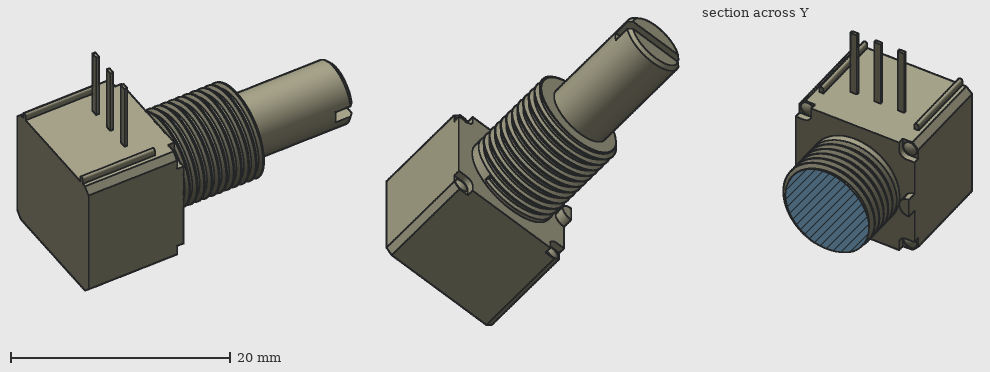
import cadquery as cq


TOTAL_LENGTH = 30.1

BODY_SIZE = 12.7
BODY_DEPTH = 10.1
BODY_CHAMFER = 0.63
HALF_BODY = BODY_SIZE / 2

RECESS_SIZE = 1.65
RECESS_DEPTH = 0.65
RECESS_RADIUS = 0.78
RIVET_RADIUS = 0.72
RIVET_HEIGHT = 0.27

TAB_WIDTH = 2.0
TAB_REACH = 1.02
TAB_HEIGHT = 1.0

BUSHING_DIAMETER = 9.5
BUSHING_LENGTH = 9.55
THREAD_PITCH = 0.78
THREAD_DEPTH = 0.42
GROOVE_ROOT_WIDTH = 0.25
GROOVE_MOUTH_WIDTH = 0.65
GROOVE_START = 0.55
GROOVE_START_ANGLE = 45
GROOVE_TURNS = 12
BUSHING_RADIUS = BUSHING_DIAMETER / 2
BUSHING_TIP = BODY_DEPTH + BUSHING_LENGTH

SHAFT_DIAMETER = 6.32
SHAFT_CHAMFER = 0.35
SLOT_WIDTH = 1.23
SLOT_DEPTH = 1.95

PIN_WIDTH = 0.7
PIN_THICKNESS = 0.3
PIN_HEIGHT = 7.0
PIN_SPACING = 2.53
PIN_Y = 6.05

RIB_WIDTH = 0.45
RIB_HEIGHT = 0.65
RIB_LENGTH = 7.68
RIB_OFFSET = 5.1


def section(y):
    """Workplane across the shaft axis at the given Y, with local x = X, y = Z and normal -Y."""
    return cq.Workplane("XZ", origin=(0, y, 0))


def make_body():
    return (
        section(0)
        .rect(BODY_SIZE, BODY_SIZE)
        .extrude(-BODY_DEPTH)
        .edges("|Y")
        .chamfer(BODY_CHAMFER)
    )


def make_recess(x_side, z_side):
    """Square corner cutter whose inner edge is rounded."""
    centre = HALF_BODY - RECESS_SIZE / 2
    inner_edge = ("<" if x_side > 0 else ">") + "X and |Y"
    inner_corner = ("<" if z_side > 0 else ">") + "Z"
    return (
        section(BODY_DEPTH - RECESS_DEPTH)
        .center(x_side * centre, z_side * centre)
        .rect(RECESS_SIZE, RECESS_SIZE)
        .extrude(-RECESS_DEPTH)
        .edges(inner_edge)
        .edges(inner_corner)
        .fillet(RECESS_RADIUS)
    )


def make_rivet(x_side, z_side):
    """Spherical cap on the recess floor, centred on the rounded inner edge of the recess."""
    offset = HALF_BODY - RECESS_SIZE + RECESS_RADIUS
    floor = BODY_DEPTH - RECESS_DEPTH
    sphere_radius = (RIVET_RADIUS**2 + RIVET_HEIGHT**2) / (2 * RIVET_HEIGHT)
    sphere = cq.Workplane("XY").sphere(sphere_radius).translate((0, RIVET_HEIGHT - sphere_radius, 0))
    sink = 0.05
    keep = section(-sink).circle(RIVET_RADIUS).extrude(-(RIVET_HEIGHT + sink))
    return sphere.intersect(keep).translate((x_side * offset, floor, z_side * offset))


def make_tab():
    """Tab flush with the -X side and rounded on its inner side."""
    radius = TAB_WIDTH / 2
    flat = TAB_REACH - radius
    return (
        section(BODY_DEPTH)
        .moveTo(-HALF_BODY, -radius)
        .lineTo(-HALF_BODY + flat, -radius)
        .threePointArc((-HALF_BODY + TAB_REACH, 0), (-HALF_BODY + flat, radius))
        .lineTo(-HALF_BODY, radius)
        .close()
        .extrude(-TAB_HEIGHT)
    )


def make_thread_groove():
    """Helical trapezoid cutter about the Z axis, running out past the bushing tip."""
    root_radius = BUSHING_RADIUS - THREAD_DEPTH
    clearance = 0.1
    flank_slope = (GROOVE_MOUTH_WIDTH - GROOVE_ROOT_WIDTH) / 2 / THREAD_DEPTH
    outer_radius = BUSHING_RADIUS + clearance
    outer_half = GROOVE_MOUTH_WIDTH / 2 + flank_slope * clearance
    root_half = GROOVE_ROOT_WIDTH / 2
    helix = cq.Workplane(cq.Wire.makeHelix(THREAD_PITCH, GROOVE_TURNS * THREAD_PITCH, root_radius))
    groove = (
        cq.Workplane("XZ")
        .polyline(
            [
                (root_radius, -root_half),
                (outer_radius, -outer_half),
                (outer_radius, outer_half),
                (root_radius, root_half),
            ]
        )
        .close()
        .sweep(helix, isFrenet=True)
    )
    return groove.translate((0, 0, GROOVE_START))


def make_bushing():
    """Threaded bushing, built upright on the Z axis and then laid along +Y."""
    finished = cq.Workplane("XY").circle(BUSHING_RADIUS).extrude(BUSHING_LENGTH)
    blank = cq.Workplane("XY").circle(BUSHING_RADIUS).extrude(BUSHING_LENGTH + 2 * THREAD_PITCH)
    upright = blank.cut(make_thread_groove()).intersect(finished)
    turned = upright.rotate((0, 0, 0), (0, 0, 1), GROOVE_START_ANGLE)
    laid = turned.rotate((0, 0, 0), (1, 0, 0), -90)
    return laid.translate((0, BODY_DEPTH, 0))


def make_shaft():
    shaft = (
        section(BUSHING_TIP)
        .circle(SHAFT_DIAMETER / 2)
        .extrude(-(TOTAL_LENGTH - BUSHING_TIP))
        .faces(">Y")
        .chamfer(SHAFT_CHAMFER)
    )
    slot = (
        section(TOTAL_LENGTH - SLOT_DEPTH)
        .rect(SHAFT_DIAMETER, SLOT_WIDTH)
        .extrude(-SLOT_DEPTH)
    )
    return shaft.cut(slot)


def make_pin(x):
    return (
        cq.Workplane("XY", origin=(x, PIN_Y, HALF_BODY))
        .rect(PIN_WIDTH, PIN_THICKNESS)
        .extrude(PIN_HEIGHT)
    )


def make_rib(x):
    """Rib along Y with a fully rounded top."""
    half_width = RIB_WIDTH / 2
    shoulder = HALF_BODY + RIB_HEIGHT - half_width
    return (
        section(0)
        .moveTo(x - half_width, HALF_BODY)
        .lineTo(x - half_width, shoulder)
        .threePointArc((x, HALF_BODY + RIB_HEIGHT), (x + half_width, shoulder))
        .lineTo(x + half_width, HALF_BODY)
        .close()
        .extrude(-RIB_LENGTH)
    )


result = make_body()
for x_side in (-1, 1):
    for z_side in (-1, 1):
        result = result.cut(make_recess(x_side, z_side))
        result = result.union(make_rivet(x_side, z_side))

result = result.union(make_bushing())
result = result.union(make_shaft())
result = result.union(make_tab())

for pin_x in (-PIN_SPACING, 0, PIN_SPACING):
    result = result.union(make_pin(pin_x))

for rib_x in (-RIB_OFFSET, RIB_OFFSET):
    result = result.union(make_rib(rib_x))